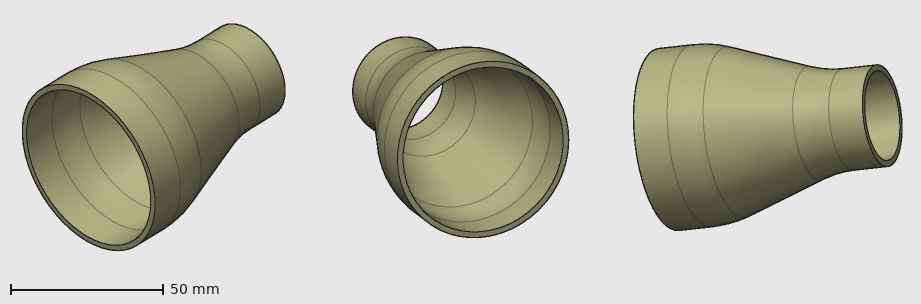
import cadquery as cq
import math

length = 76.0
large_diameter = 60.3
small_diameter = 33.7
wall = 2.0
collar_length = 12.0
bend_radius = 37.8

taper_start = collar_length
taper_end = length - collar_length

radius_drop = (large_diameter - small_diameter) / 2
axial_offset = (taper_end - taper_start) / 2
radial_offset = bend_radius - radius_drop / 2
offset_angle = math.atan2(radial_offset, axial_offset)
cone_angle = math.asin(bend_radius / math.hypot(axial_offset, radial_offset)) - offset_angle


def reducer_body(inset):
    """Solid of revolution whose surface lies the inset inside the reducer's outside."""
    large_radius = large_diameter / 2 - inset
    small_radius = small_diameter / 2 - inset
    large_bend_radius = bend_radius - inset
    small_bend_radius = bend_radius + inset

    def large_bend_point(angle):
        radius = large_radius - large_bend_radius * (1 - math.cos(angle))
        return (radius, taper_start + large_bend_radius * math.sin(angle))

    def small_bend_point(angle):
        radius = small_radius + small_bend_radius * (1 - math.cos(angle))
        return (radius, taper_end - small_bend_radius * math.sin(angle))

    return (
        cq.Workplane("XY")
        .moveTo(0, 0)
        .lineTo(large_radius, 0)
        .lineTo(large_radius, taper_start)
        .threePointArc(large_bend_point(cone_angle / 2), large_bend_point(cone_angle))
        .lineTo(*small_bend_point(cone_angle))
        .threePointArc(small_bend_point(cone_angle / 2), (small_radius, taper_end))
        .lineTo(small_radius, length)
        .lineTo(0, length)
        .close()
        .revolve(360, (0, 0, 0), (0, 1, 0))
    )


outer_body = reducer_body(0)
bore = reducer_body(wall)

result = outer_body.cut(bore)